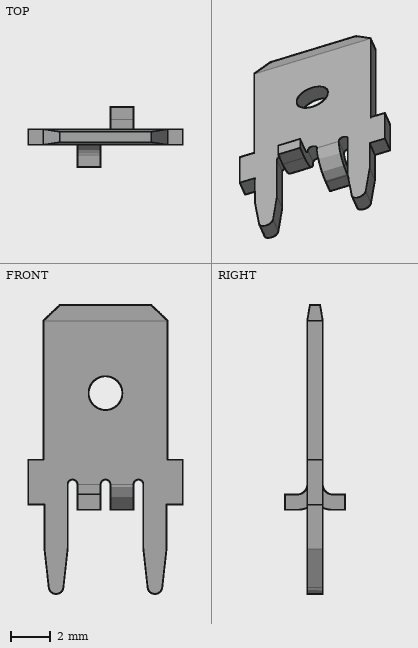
import cadquery as cq
import math

height = 14.78
thickness = 0.8
blade_width = 6.35
shoulder_width = 7.92
shoulder_top = 6.87
shoulder_bottom = 4.57

tip_length = 0.8
tip_side_inset = 0.84
tip_bevel = 0.13

hole_diameter = 1.71
hole_height = 10.27

leg_width = 1.2
leg_taper_start = 2.3
leg_tip_radius = 0.38
tab_width = 1.2
tab_span = 3.07
bend_inner_radius = 0.5
slot_width = 0.49
bend_start = 5.6

half_thickness = thickness / 2
slot_radius = slot_width / 2
tab_pitch = tab_width + slot_width
leg_inner = tab_pitch + slot_radius
leg_outer = leg_inner + leg_width
leg_center = leg_inner + leg_width / 2


def sheet_box(width, bottom, top):
    """Block of full sheet thickness, centred in X and Y."""
    return (
        cq.Workplane("XY")
        .box(width, thickness, top - bottom, centered=(True, True, False))
        .translate((0, 0, bottom))
    )


def extrude_through_sheet(profile):
    """Extrude an XZ profile symmetrically through the sheet thickness."""
    return profile.extrude(thickness).translate((0, half_thickness, 0))


def make_blade():
    """Blade whose free end narrows in width and in thickness."""
    half_width = blade_width / 2
    tip_start = height - tip_length
    blade = extrude_through_sheet(
        cq.Workplane("XZ")
        .moveTo(-half_width, bend_start)
        .lineTo(half_width, bend_start)
        .lineTo(half_width, tip_start)
        .lineTo(half_width - tip_side_inset, height)
        .lineTo(-half_width + tip_side_inset, height)
        .lineTo(-half_width, tip_start)
        .close()
    )
    side_profile = (
        cq.Workplane("YZ")
        .moveTo(-half_thickness, bend_start)
        .lineTo(half_thickness, bend_start)
        .lineTo(half_thickness, tip_start)
        .lineTo(half_thickness - tip_bevel, height)
        .lineTo(-half_thickness + tip_bevel, height)
        .lineTo(-half_thickness, tip_start)
        .close()
        .extrude(half_width, both=True)
    )
    return blade.intersect(side_profile)


def make_leg(center_x):
    """Leg with straight tapered flanks tangent to its round tip."""
    half_width = leg_width / 2
    rise = leg_taper_start - leg_tip_radius
    tilt = math.atan2(half_width, rise) - math.asin(leg_tip_radius / math.hypot(half_width, rise))
    tangent_x = leg_tip_radius * math.cos(tilt)
    tangent_z = leg_tip_radius - leg_tip_radius * math.sin(tilt)
    return extrude_through_sheet(
        cq.Workplane("XZ")
        .moveTo(center_x - half_width, bend_start)
        .lineTo(center_x - half_width, leg_taper_start)
        .lineTo(center_x - tangent_x, tangent_z)
        .threePointArc((center_x, 0), (center_x + tangent_x, tangent_z))
        .lineTo(center_x + half_width, leg_taper_start)
        .lineTo(center_x + half_width, bend_start)
        .close()
    )


def make_tab(center_x, side):
    """Tab bent square to the sheet, toward +Y (side = 1) or -Y (side = -1)."""
    outer_radius = bend_inner_radius + thickness
    bend_center_y = half_thickness + bend_inner_radius
    tab_top = bend_start - bend_inner_radius
    tab_bottom = bend_start - outer_radius
    diagonal = math.sqrt(0.5)

    def bend_midpoint(radius):
        return (side * (bend_center_y - radius * diagonal), bend_start - radius * diagonal)

    return (
        cq.Workplane("YZ", origin=(center_x, 0, 0))
        .moveTo(-side * half_thickness, bend_start)
        .threePointArc(bend_midpoint(outer_radius), (side * bend_center_y, tab_bottom))
        .lineTo(side * tab_span / 2, tab_bottom)
        .lineTo(side * tab_span / 2, tab_top)
        .lineTo(side * bend_center_y, tab_top)
        .threePointArc(bend_midpoint(bend_inner_radius), (side * half_thickness, bend_start))
        .close()
        .extrude(tab_width / 2, both=True)
    )


shoulders = sheet_box(shoulder_width, shoulder_bottom, shoulder_top)
leg_gap = sheet_box(2 * leg_inner, shoulder_bottom, bend_start)
result = make_blade().union(shoulders).cut(leg_gap)
for leg_side in (-1, 1):
    result = result.union(make_leg(leg_side * leg_center))

slot_ends = extrude_through_sheet(
    cq.Workplane("XZ")
    .pushPoints([(x, bend_start) for x in (-tab_pitch, 0, tab_pitch)])
    .circle(slot_radius)
)
result = result.cut(slot_ends)

for tab_side in (-1, 1):
    result = result.union(make_tab(tab_side * tab_pitch / 2, tab_side))

detent_hole = extrude_through_sheet(
    cq.Workplane("XZ").center(0, hole_height).circle(hole_diameter / 2)
)
result = result.cut(detent_hole)